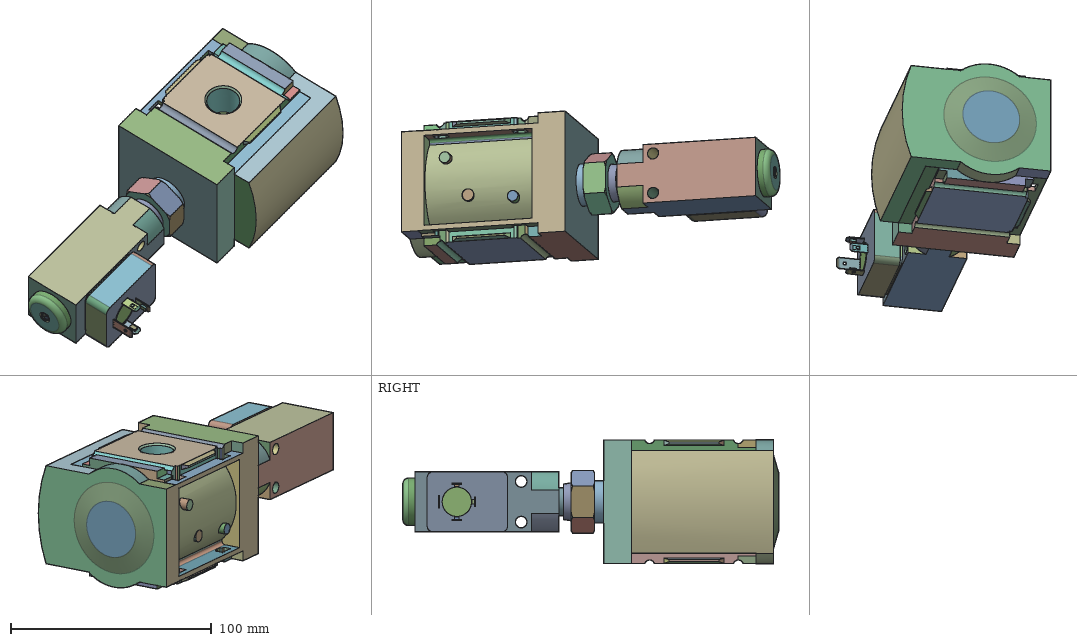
import cadquery as cq
import math

BLOCK = 62.0
HALF = BLOCK / 2
BLOCK_HEIGHT = 61.5
TOP = BLOCK_HEIGHT / 2
TOTAL_LENGTH = 187.1
TOTAL_HEIGHT = 62.0
TOTAL_WIDTH = 75.8

DOME_HEIGHT = 2.6
PLATE_THICKNESS = 8.6
FRONT_THICKNESS = 14.0
PLATE_BACK = TOTAL_LENGTH - DOME_HEIGHT
PLATE_FRONT = PLATE_BACK - PLATE_THICKNESS
MIDDLE_START = PLATE_FRONT - BLOCK
MIDDLE_Y = PLATE_FRONT - HALF
HOUSING_FRONT = MIDDLE_START - FRONT_THICKNESS

COVER_HALF_HEIGHT = 25.6
COVER_SHOULDER_X = 40.2
COVER_TIP_X = TOTAL_WIDTH - HALF
RAIL_DROP = 0.1
RAIL_HALF_HEIGHT = COVER_HALF_HEIGHT - RAIL_DROP
RAIL_WIDTH = 6.7
INSERT_HALF_WIDTH = HALF - RAIL_WIDTH
HUMP_HALF_WIDTH = 15.0
HUMP_TOP = TOTAL_HEIGHT / 2
DOME_BASE_DIAMETER = 47.2
DOME_FACE_DIAMETER = 29.0
WINDOW_LENGTH = 55.8
WINDOW_HALF_HEIGHT = 23.0
WINDOW_FILLET = 1.7
CORE_EDGE_Z = 20.4
CORE_RADIUS = 29.0
GROOVE_RADIUS = 2.5
GROOVE_DEPTH = 1.78
GROOVE_OFFSET = 22.0
NOTCH_X = 20.0
NOTCH_END = 166.9
NOTCH_FLOOR = 27.0
SLOT_OFFSET = 20.4
SLOT_WIDE = 7.3
SLOT_NARROW = 4.1
SLOT_OUTER = 3.0
SLOT_STEP = 7.0
SLOT_INNER = 8.2
TAB_REACH = 2.5
TAB_ROOT_LENGTH = 30.0
TAB_TIP_LENGTH = 24.7
TAB_ROOT_TOP = 30.7
TAB_TIP_TOP = 29.8
TAB_TIP_BOTTOM = 28.8
TAB_ROOT_BOTTOM = 28.0
PORT_DIAMETER = 16.5
PORT_MOUTH_DIAMETER = 18.3
PORT_FLOOR_DIAMETER = 15.2
PORT_CHAMFER = 1.0
PORT_DEPTH = 18.7
CORE_PINS = [
    (5.6, 162.2, 11.2, -30.5),
    (6.0, 150.8, -8.2, -28.6),
    (5.5, 127.2, -10.7, -30.1),
]

SWITCH_BACK = 77.7
COLLAR_DIAMETER = 21.1
NUT_BACK = 95.5
NUT_FRONT = 83.8
NUT_FLATS = 27.1
NUT_CHAMFER_DIAMETER = 29.0
NUT_CHAMFER_ANGLE = 30.0
NUT_TURN = 90.0
CONE_BASE_DIAMETER = 19.0
CONE_TIP_DIAMETER = 17.8
CONE_END = 79.9
NECK_DIAMETER = 14.0

SWITCH_SIDE = 30.0
SWITCH_FRONT = 6.0
ROUNDED_END = 64.2
ROUNDED_RADIUS = 16.0
MOUNT_HOLE = 5.6
MOUNT_HOLE_Y = 59.0
MOUNT_HOLE_Z = 10.1
CAP_DIAMETER = 23.8
CAP_FILLET = 3.0
SCREW_RECESS_MOUTH = 6.0
SCREW_RECESS_DIAMETER = 5.0
SCREW_RECESS_DEPTH = 1.5
SCREW_DIAMETER = 3.5
SCREW_HEIGHT = 1.0
SCREW_SLOT = 0.5
SCREW_SLOT_ANGLE = 45.0

SOCKET_INNER_X = 16.3
SOCKET_OUTER_X = 29.4
SOCKET_START = 12.2
SOCKET_END = 52.2
SOCKET_FILLET = 3.0
GASKET_INSET = 1.3
PAD_DIAMETER = 14.6
PAD_THICKNESS = 0.4
CONTACT_Y = 27.0
BLADE_THICKNESS = 0.5
BLADE_HOLE = 1.65
BLADE_BEVEL = 1.1
BLADE_TAPER = 1.0
BLADE_EDGE = 0.2
BLADE_RADIUS = 9.0
BLADE_WIDTH = 4.7
BLADE_TIP = 38.4
BLADE_HOLE_X = 34.5
EARTH_WIDTH = 6.2
EARTH_TIP = 41.2
EARTH_HOLE_X = 37.0
TONGUE_START = 33.3
TONGUE_END = 36.7
TONGUE_REACH = 1.5
TONGUE_WIDTH = 2.2


def box(x0, x1, y0, y1, z0, z1):
    """Block between two limits along each axis."""
    return cq.Workplane("XY").box(x1 - x0, y1 - y0, z1 - z0, centered=False).translate((x0, y0, z0))


def rod(diameter, y0, y1):
    """Cylinder along Y between y0 and y1."""
    return cq.Workplane("XZ", origin=(0, y1, 0)).circle(diameter / 2).extrude(y1 - y0)


def turned(profile):
    """Body of revolution about Y from (radius, y) points."""
    return cq.Workplane("XY").polyline(profile).close().revolve(360, (0, 0, 0), (0, 1, 0))


def both_sides(shape, plane):
    """The shape together with its mirror image."""
    return shape.union(shape.mirror(plane))


def cover_shell():
    """Back plate and curved side cover, an L wrapped around the middle of the block."""
    outline = (
        cq.Workplane("XZ", origin=(0, PLATE_BACK, 0))
        .moveTo(-HALF, -COVER_HALF_HEIGHT)
        .lineTo(COVER_SHOULDER_X, -COVER_HALF_HEIGHT)
        .threePointArc((COVER_TIP_X, 0), (COVER_SHOULDER_X, COVER_HALF_HEIGHT))
        .lineTo(-HALF, COVER_HALF_HEIGHT)
        .close()
        .extrude(PLATE_BACK - MIDDLE_START)
    )
    return outline.cut(box(-HALF, HALF, MIDDLE_START, PLATE_FRONT, -HALF, HALF))


def back_hump():
    """Arched rise of the back plate to just above the block."""
    return (
        cq.Workplane("XZ", origin=(0, PLATE_BACK, 0))
        .moveTo(-HUMP_HALF_WIDTH, COVER_HALF_HEIGHT)
        .threePointArc((0, HUMP_TOP), (HUMP_HALF_WIDTH, COVER_HALF_HEIGHT))
        .lineTo(HUMP_HALF_WIDTH, 0)
        .lineTo(-HUMP_HALF_WIDTH, 0)
        .close()
        .extrude(PLATE_THICKNESS)
    )


def back_dome():
    """Flat-topped cone standing on the back plate."""
    return turned([
        (0, PLATE_BACK),
        (DOME_BASE_DIAMETER / 2, PLATE_BACK),
        (DOME_FACE_DIAMETER / 2, TOTAL_LENGTH),
        (0, TOTAL_LENGTH),
    ])


def side_tab():
    """Tapered tab on the left edge of the insert, thinner at its tip."""
    inner_x = -INSERT_HALF_WIDTH
    outer_x = inner_x - TAB_REACH
    plan = (
        cq.Workplane("XY")
        .polyline([
            (inner_x, MIDDLE_Y - TAB_ROOT_LENGTH / 2),
            (outer_x, MIDDLE_Y - TAB_TIP_LENGTH / 2),
            (outer_x, MIDDLE_Y + TAB_TIP_LENGTH / 2),
            (inner_x, MIDDLE_Y + TAB_ROOT_LENGTH / 2),
        ])
        .close()
        .extrude(TOP)
    )
    section = (
        cq.Workplane("XZ", origin=(0, PLATE_FRONT, 0))
        .polyline([
            (inner_x, TAB_ROOT_BOTTOM),
            (outer_x, TAB_TIP_BOTTOM),
            (outer_x, TAB_TIP_TOP),
            (inner_x, TAB_ROOT_TOP),
        ])
        .close()
        .extrude(BLOCK)
    )
    return plan.intersect(section)


def cross_grooves():
    """Two rounded grooves across the top of the insert."""
    grooves = cq.Workplane("YZ", origin=(-INSERT_HALF_WIDTH, 0, 0))
    axis_z = TOP - GROOVE_DEPTH + GROOVE_RADIUS
    centres = [(MIDDLE_Y - GROOVE_OFFSET, axis_z), (MIDDLE_Y + GROOVE_OFFSET, axis_z)]
    return grooves.pushPoints(centres).circle(GROOVE_RADIUS).extrude(2 * INSERT_HALF_WIDTH)


def corner_notch():
    """Step at the rear left corner of the insert top."""
    return box(-INSERT_HALF_WIDTH, -NOTCH_X, NOTCH_END, PLATE_FRONT, NOTCH_FLOOR, TOP)


def rail_slots():
    """Two stepped slots through the left rail into the window."""
    slots = cq.Workplane("XY")
    for side in (-1, 1):
        y = MIDDLE_Y + side * SLOT_OFFSET
        wide = box(SLOT_OUTER - HALF, SLOT_STEP - HALF, y - SLOT_WIDE / 2, y + SLOT_WIDE / 2, 0, TOP)
        narrow = box(SLOT_OUTER - HALF, SLOT_INNER - HALF, y - SLOT_NARROW / 2, y + SLOT_NARROW / 2, 0, TOP)
        slots = slots.add(wide.union(narrow))
    return slots.combine()


def core():
    """Round core of the housing, filling the back of the window."""
    return rod(2 * CORE_RADIUS, MIDDLE_START, PLATE_FRONT)


def window():
    """Opening in the left face, leaving the round core standing."""
    depth = HALF - math.sqrt(CORE_RADIUS**2 - CORE_EDGE_Z**2)
    half_length = WINDOW_LENGTH / 2
    pocket = box(
        -HALF, depth - HALF, MIDDLE_Y - half_length, MIDDLE_Y + half_length,
        -WINDOW_HALF_HEIGHT, WINDOW_HALF_HEIGHT,
    )
    pocket = pocket.edges("|Y and >X").fillet(WINDOW_FILLET)
    return pocket.cut(core())


def core_pin(diameter, y, z, tip_x):
    """Pin from inside the core to its flat tip."""
    return cq.Workplane("YZ", origin=(tip_x, y, z)).circle(diameter / 2).extrude(-tip_x)


def port():
    """Chamfered, slightly tapered blind port in the top face."""
    return (
        cq.Workplane("XZ", origin=(0, MIDDLE_Y, 0))
        .polyline([
            (0, TOP),
            (PORT_MOUTH_DIAMETER / 2, TOP),
            (PORT_DIAMETER / 2, TOP - PORT_CHAMFER),
            (PORT_FLOOR_DIAMETER / 2, TOP - PORT_DEPTH),
            (0, TOP - PORT_DEPTH),
        ])
        .close()
        .revolve(360, (0, 0, 0), (0, 1, 0))
    )


def make_housing():
    body = box(-HALF, HALF, HOUSING_FRONT, MIDDLE_START, -TOP, TOP)
    body = body.union(
        box(-INSERT_HALF_WIDTH, INSERT_HALF_WIDTH, MIDDLE_START, PLATE_FRONT, -TOP, TOP)
    )
    body = body.union(
        box(-HALF, HALF, MIDDLE_START, PLATE_FRONT, -RAIL_HALF_HEIGHT, RAIL_HALF_HEIGHT)
    )
    body = body.union(cover_shell()).union(back_dome())
    body = body.union(both_sides(back_hump(), "XY"))
    body = body.union(both_sides(both_sides(side_tab(), "YZ"), "XY"))
    body = body.cut(both_sides(cross_grooves(), "XY"))
    body = body.cut(both_sides(both_sides(corner_notch(), "YZ"), "XY"))
    body = body.cut(both_sides(rail_slots(), "XY").cut(core()))
    body = body.cut(window())
    body = body.cut(port())
    for pin in CORE_PINS:
        body = body.union(core_pin(*pin))
    return body


def hex_nut():
    """Hexagon with corners up and down and both ends chamfered by a cone."""
    corner_diameter = NUT_FLATS / math.cos(math.radians(30))
    nut = (
        cq.Workplane("XZ", origin=(0, NUT_BACK, 0))
        .transformed(rotate=(0, 0, NUT_TURN))
        .polygon(6, corner_diameter)
        .extrude(NUT_BACK - NUT_FRONT)
    )
    radial_chamfer = (corner_diameter - NUT_CHAMFER_DIAMETER) / 2
    axial_chamfer = radial_chamfer * math.tan(math.radians(NUT_CHAMFER_ANGLE))
    envelope = rod(corner_diameter, NUT_FRONT, NUT_BACK)
    envelope = envelope.faces("<Y or >Y").chamfer(axial_chamfer, radial_chamfer)
    return nut.intersect(envelope)


def make_fitting():
    cone = turned([
        (0, NUT_FRONT),
        (CONE_BASE_DIAMETER / 2, NUT_FRONT),
        (CONE_TIP_DIAMETER / 2, CONE_END),
        (0, CONE_END),
    ])
    collar = rod(COLLAR_DIAMETER, NUT_BACK, HOUSING_FRONT)
    neck = rod(NECK_DIAMETER, SWITCH_BACK, CONE_END)
    return hex_nut().union(collar).union(cone).union(neck)


def switch_case():
    """Square case with rounded corners at the fitting end and two cross holes."""
    half_side = SWITCH_SIDE / 2
    square = box(-half_side, half_side, SWITCH_FRONT, ROUNDED_END, -half_side, half_side)
    end = box(-half_side, half_side, ROUNDED_END, SWITCH_BACK, -half_side, half_side)
    end = end.intersect(rod(2 * ROUNDED_RADIUS, ROUNDED_END, SWITCH_BACK))
    holes = (
        cq.Workplane("YZ", origin=(-half_side, MOUNT_HOLE_Y, 0))
        .pushPoints([(0, -MOUNT_HOLE_Z), (0, MOUNT_HOLE_Z)])
        .circle(MOUNT_HOLE / 2)
        .extrude(SWITCH_SIDE)
    )
    return square.union(end).cut(holes)


def end_cap():
    """Round cap with a slotted adjusting screw sunk in its face."""
    cap = rod(CAP_DIAMETER, 0, SWITCH_FRONT).faces("<Y").edges().fillet(CAP_FILLET)
    countersink = (SCREW_RECESS_MOUTH - SCREW_RECESS_DIAMETER) / 2
    recess = turned([
        (0, 0),
        (SCREW_RECESS_MOUTH / 2, 0),
        (SCREW_RECESS_DIAMETER / 2, countersink),
        (SCREW_RECESS_DIAMETER / 2, SCREW_RECESS_DEPTH),
        (0, SCREW_RECESS_DEPTH),
    ])
    screw_face = SCREW_RECESS_DEPTH - SCREW_HEIGHT
    screw = rod(SCREW_DIAMETER, screw_face, SCREW_RECESS_DEPTH)
    slot = (
        cq.Workplane("XZ", origin=(0, SCREW_RECESS_DEPTH, 0))
        .transformed(rotate=(0, 0, SCREW_SLOT_ANGLE))
        .rect(SCREW_DIAMETER, SCREW_SLOT)
        .extrude(SCREW_HEIGHT)
    )
    return cap.cut(recess).union(screw.cut(slot))


def blade_outline(plane, thickness, tip_x, half_size, tip_half_size):
    """Prism of a blade outline that narrows over the bevel towards the tip."""
    return (
        cq.Workplane(plane)
        .polyline([
            (SOCKET_OUTER_X, -half_size),
            (tip_x - BLADE_BEVEL, -half_size),
            (tip_x, -tip_half_size),
            (tip_x, tip_half_size),
            (tip_x - BLADE_BEVEL, half_size),
            (SOCKET_OUTER_X, half_size),
        ])
        .close()
        .extrude(thickness / 2, both=True)
    )


def blade(width, tip_x, hole_x):
    """Flat contact along X, lying in the XY plane, with a bevelled tip and a hole."""
    plan = blade_outline("XY", BLADE_THICKNESS, tip_x, width / 2, width / 2 - BLADE_TAPER)
    section = blade_outline("XZ", width, tip_x, BLADE_THICKNESS / 2, BLADE_EDGE / 2)
    hole = (
        cq.Workplane("XY", origin=(hole_x, 0, 0))
        .circle(BLADE_HOLE / 2)
        .extrude(BLADE_THICKNESS, both=True)
    )
    return plan.intersect(section).cut(hole)


def contact_blade():
    """Contact at the top of the pad, with a tongue pointing to the pad centre."""
    contact = blade(BLADE_WIDTH, BLADE_TIP, BLADE_HOLE_X)
    tongue = box(
        TONGUE_START, TONGUE_END, -TONGUE_WIDTH / 2, TONGUE_WIDTH / 2, -TONGUE_REACH, 0
    )
    return contact.union(tongue).translate((0, CONTACT_Y, BLADE_RADIUS))


def connector():
    half_height = SWITCH_SIDE / 2
    socket = box(SOCKET_INNER_X, SOCKET_OUTER_X, SOCKET_START, SOCKET_END, -half_height, half_height)
    socket = socket.edges("|X").fillet(SOCKET_FILLET)
    gasket = box(
        SWITCH_SIDE / 2, SOCKET_INNER_X,
        SOCKET_START + GASKET_INSET, SOCKET_END - GASKET_INSET,
        GASKET_INSET - half_height, half_height - GASKET_INSET,
    )
    gasket = gasket.edges("|X").fillet(SOCKET_FILLET)
    pad = (
        cq.Workplane("YZ", origin=(SOCKET_OUTER_X, CONTACT_Y, 0))
        .circle(PAD_DIAMETER / 2)
        .extrude(PAD_THICKNESS)
    )
    plug = socket.union(gasket).union(pad)
    pad_axis = ((0, CONTACT_Y, 0), (1, CONTACT_Y, 0))
    for angle in (0, -90, 180):
        plug = plug.union(contact_blade().rotate(*pad_axis, angle))
    earth = blade(EARTH_WIDTH, EARTH_TIP, EARTH_HOLE_X)
    earth = earth.translate((0, CONTACT_Y, BLADE_RADIUS)).rotate(*pad_axis, 90)
    return plug.union(earth)


def make_switch():
    return switch_case().union(end_cap()).union(connector())


housing = make_housing()
fitting = make_fitting()
switch = make_switch()
result = cq.Compound.makeCompound([housing.val(), fitting.val(), switch.val()])